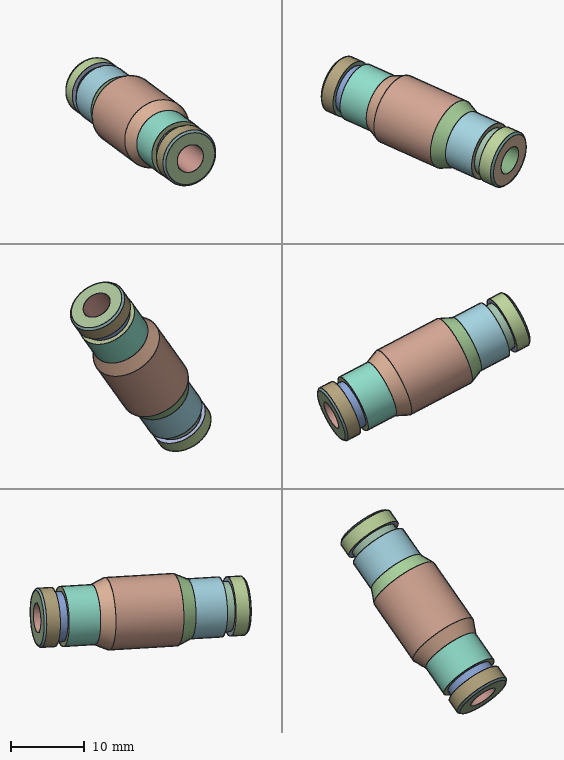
import cadquery as cq

length = 29.0
half_length = length / 2

barrel_radius = 4.93
body_radius = 4.1
collar_radius = 4.03
groove_radius = 3.42

chamfer = 0.3
collar_width = 2.2
groove_width = 1.22
body_width = 4.4
cone_width = 1.9

socket_radius = 2.0
through_radius = 1.6

groove_outer_x = half_length - collar_width
body_outer_x = groove_outer_x - groove_width
cone_outer_x = body_outer_x - body_width
barrel_half_length = cone_outer_x - cone_width
socket_depth = half_length - barrel_half_length

right_profile = [
    (barrel_half_length, barrel_radius),
    (cone_outer_x, body_radius),
    (body_outer_x, body_radius),
    (body_outer_x, groove_radius),
    (groove_outer_x, groove_radius),
    (groove_outer_x, collar_radius),
    (half_length - chamfer, collar_radius),
    (half_length, collar_radius - chamfer),
    (half_length, socket_radius),
    (half_length - socket_depth, socket_radius),
    (half_length - socket_depth, through_radius),
]
left_profile = [(-x, radius) for x, radius in reversed(right_profile)]

result = (
    cq.Workplane("XY")
    .polyline(right_profile + left_profile)
    .close()
    .revolve(360, (0, 0, 0), (1, 0, 0))
)